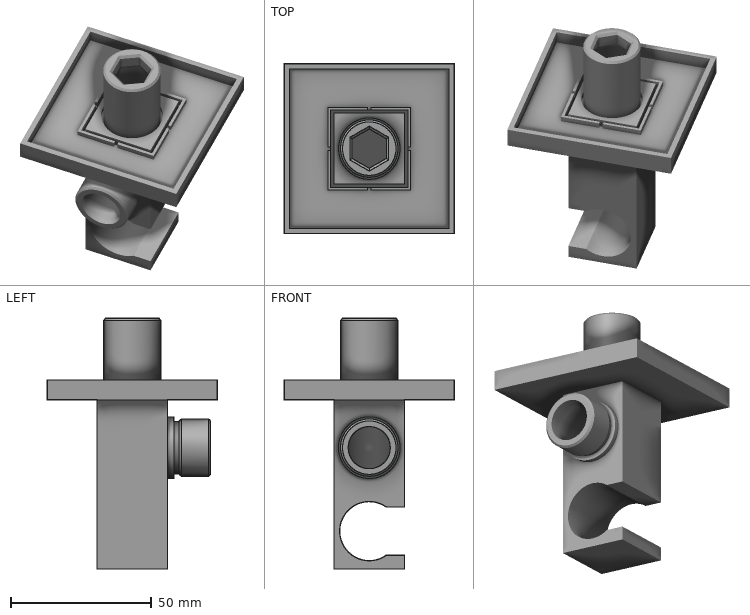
import cadquery as cq
import math

block_width = 25.3

plate_width = 60.7
plate_bottom = 60.3
plate_height = 7.2
rim_wall = 1.9
floor_thickness = 2.5
plate_top = plate_bottom + plate_height
plate_floor = plate_bottom + floor_thickness

collar_outer = 29.5
collar_inner = 27.6
collar_height = 2.0
collar_top = plate_floor + collar_height
collar_slit = 1.3

groove_depth = floor_thickness / 2

block_top = collar_top

tube_diameter = 20.5
tube_top = 89.5
bore_diameter = 15.0
edge_chamfer = 0.7
relief_diameter = 21.9
relief_depth = 2.15
hex_flats = 12.2
hex_mouth_flats = 13.9
hex_mouth_depth = (hex_mouth_flats - hex_flats) / 2
hex_depth = 5.0

port_height = 43.3
port_length = 15.3
flange_diameter = 22.0
flange_length = 2.15
neck_diameter = 18.7
neck_length = 1.8
neck_chamfer = (tube_diameter - neck_diameter) / 2

chamber_diameter = 19.2
chamber_height = chamber_diameter

holder_height = 13.5
holder_diameter = 21.0
holder_mouth = 17.2


def square_prism(width, bottom, top):
    return cq.Workplane("XY").workplane(offset=bottom).rect(width, width).extrude(top - bottom)


def cylinder(diameter, bottom, top):
    return cq.Workplane("XY").workplane(offset=bottom).circle(diameter / 2).extrude(top - bottom)


def hexagon(across_flats):
    """Hexagon wire at the tube mouth, with two corners on the Y direction."""
    corner_radius = across_flats / math.sqrt(3)
    corners = [
        (corner_radius * math.sin(math.radians(60 * i)), corner_radius * math.cos(math.radians(60 * i)))
        for i in range(6)
    ]
    return cq.Workplane("XY").workplane(offset=tube_top).polyline(corners).close()


def hex_socket():
    straight = hexagon(hex_flats).extrude(-hex_depth)
    mouth = hexagon(hex_mouth_flats).extrude(-hex_mouth_depth, taper=45)
    return straight.union(mouth)


def outlet_port():
    """Turned port: flange, neck and chamfered barrel, revolved about its own axis."""
    face = block_width / 2
    barrel_radius = tube_diameter / 2
    flange_end = face + flange_length
    neck_end = flange_end + neck_length
    port_end = face + port_length
    profile = [
        (0, -face),
        (flange_diameter / 2, -face),
        (flange_diameter / 2, -flange_end),
        (neck_diameter / 2, -flange_end),
        (neck_diameter / 2, -neck_end),
        (barrel_radius, -neck_end - neck_chamfer),
        (barrel_radius, -port_end + edge_chamfer),
        (barrel_radius - edge_chamfer, -port_end),
        (0, -port_end),
    ]
    port = cq.Workplane("XY").polyline(profile).close().revolve(360, (0, 0, 0), (0, 1, 0))
    return port.translate((0, 0, port_height))


def water_passage():
    """Bore down from the hexagon socket into the chamber, and bore out through the port."""
    chamber_bottom = port_height - chamber_height / 2
    chamber = cylinder(chamber_diameter, chamber_bottom, chamber_bottom + chamber_height)
    down = cylinder(bore_diameter, port_height, tube_top - hex_depth)
    across = (
        cq.Workplane("XZ", origin=(0, 0, port_height))
        .circle(bore_diameter / 2)
        .extrude(block_width / 2 + port_length)
    )
    return chamber.union(down).union(across)


def holder_opening():
    side = cq.Workplane("XZ", origin=(0, block_width / 2, holder_height))
    seat = side.circle(holder_diameter / 2).extrude(block_width)
    mouth = side.center(block_width / 4, 0).rect(block_width / 2, holder_mouth).extrude(block_width)
    return seat.union(mouth)


def make_bracket():
    block = square_prism(block_width, 0, block_top)
    relief = cylinder(relief_diameter, block_top - relief_depth, block_top)
    tube = cylinder(tube_diameter, block_top - relief_depth, tube_top).faces(">Z").chamfer(edge_chamfer)
    bracket = block.cut(relief).union(tube).union(outlet_port())
    return bracket.cut(water_passage()).cut(hex_socket()).cut(holder_opening())


def make_cover_plate():
    tray = square_prism(plate_width, plate_bottom, plate_top)
    tray = tray.cut(square_prism(plate_width - 2 * rim_wall, plate_floor, plate_top))
    collar = square_prism(collar_outer, plate_floor, collar_top)
    for length, width in ((collar_outer, collar_slit), (collar_slit, collar_outer)):
        slit = cq.Workplane("XY").workplane(offset=plate_floor).rect(length, width).extrude(collar_height)
        collar = collar.cut(slit)
    groove = square_prism(collar_inner, plate_floor - groove_depth, collar_top)
    block_hole = square_prism(block_width, plate_bottom, plate_floor)
    return tray.union(collar).cut(groove).cut(block_hole)


bracket = make_bracket()
cover_plate = make_cover_plate()

result = cq.Compound.makeCompound([bracket.val(), cover_plate.val()])